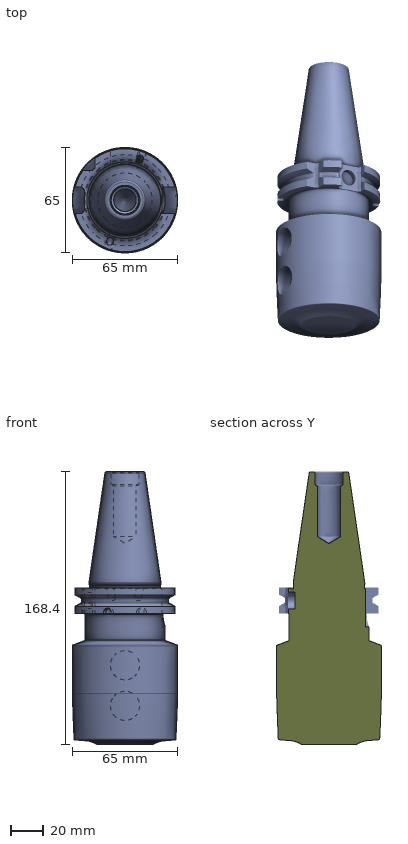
import cadquery as cq
import math

gauge_radius = 44.45 / 2
taper_length = 68.4
taper_ratio = 7 / 24
tip_radius = gauge_radius - taper_length * taper_ratio / 2
tip_fillet = 1.2
relief_radius = 21.95
relief_top_z = -1.0
relief_cone_z = -1.7

flange_radius = 63.55 / 2
flange_top_z = -3.2
flange_bottom_z = -19.1
flange_height = flange_top_z - flange_bottom_z
face_recess_radius = 23.6
face_recess_depth = 0.5
groove_z = -11.1
groove_floor_radius = 56.25 / 2
groove_half_width = 3.54
groove_wall_angle = 30
groove_floor_half_width = groove_half_width - (
    (flange_radius - groove_floor_radius) * math.tan(math.radians(groove_wall_angle))
)

neck_radius = 49.5 / 2
neck_bottom_z = -35.7
body_radius = 65 / 2
body_top_z = -38.7
body_bend_z = -68.4
body_end_radius = 31.4
body_end_z = -97.0
body_bulge = 0.1
nose_z = -100.0
nose_cone_radius = 23.0
nose_cone_z = -97.7
nose_arc_radius = 20.2
nose_arc_z = -98.4
nose_radius = 16.8

groove_fillet = 0.6
neck_fillet = 0.5
body_fillet = 0.5
edge_margin = 0.01

thread_radius = 13.9 / 2
pilot_radius = 17 / 2
pilot_depth = 8.0
pilot_chamfer = 0.7
pilot_floor_drop = 0.8
thread_depth = 40.0
drill_point_half_angle = 59

slot_width = 16.1
slot_overshoot = 10.0
left_slot_floor = 25.0
slot_corner_chamfer = 1.6
right_slot_floor = 22.8
right_slot_end_z = flange_bottom_z
dimple_radius = 5.0
dimple_depth = 4.0
notch_x = -18.6
notch_y = 18.4
notch_chamfer = 1.5

coolant_radius = 2.1
coolant_angles = (70, 250)
coolant_inlet_radius = 27.0
coolant_tilt = 30
coolant_inlet_length = 8.0
outlet_radius = 2.5
outlet_z = -18.3
outlet_depth = 4.0

screw_hole_radius = 9.0
screw_hole_depth = 10.0
screw_hole_offsets = (24.0, 49.0)


def radial_point(radius, angle, z):
    """Point at the given radius and angle around the Z axis."""
    turn = math.radians(angle)
    return cq.Vector(radius * math.cos(turn), radius * math.sin(turn), z)


def fillet_circle(body, radius, z, size):
    """Fillet the circular edge around Z that has the given radius and height."""
    reach = cq.Vector(radius + edge_margin, radius + edge_margin, edge_margin)
    corner = cq.Vector(0, 0, z)
    near = cq.selectors.BoxSelector(corner - reach, corner + reach, boundingbox=True)
    inner = cq.Vector(radius - edge_margin, radius - edge_margin, edge_margin)
    inside = cq.selectors.BoxSelector(corner - inner, corner + inner, boundingbox=True)
    return body.edges(near - inside).fillet(size)


def make_blank():
    """Revolve the half section of the whole holder around Z."""
    bulge_radius = (body_radius + body_end_radius) / 2 + body_bulge
    bulge_z = (body_bend_z + body_end_z) / 2
    blank = (
        cq.Workplane("XZ")
        .moveTo(0, taper_length)
        .lineTo(tip_radius, taper_length)
        .lineTo(gauge_radius, 0)
        .lineTo(gauge_radius, relief_top_z)
        .lineTo(relief_radius, relief_cone_z)
        .lineTo(relief_radius, flange_top_z - face_recess_depth)
        .lineTo(face_recess_radius, flange_top_z - face_recess_depth)
        .lineTo(face_recess_radius, flange_top_z)
        .lineTo(flange_radius, flange_top_z)
        .lineTo(flange_radius, groove_z + groove_half_width)
        .lineTo(groove_floor_radius, groove_z + groove_floor_half_width)
        .lineTo(groove_floor_radius, groove_z - groove_floor_half_width)
        .lineTo(flange_radius, groove_z - groove_half_width)
        .lineTo(flange_radius, flange_bottom_z)
        .lineTo(neck_radius, flange_bottom_z)
        .lineTo(neck_radius, neck_bottom_z)
        .lineTo(body_radius, body_top_z)
        .lineTo(body_radius, body_bend_z)
        .threePointArc((bulge_radius, bulge_z), (body_end_radius, body_end_z))
        .lineTo(nose_cone_radius, nose_cone_z)
        .threePointArc((nose_arc_radius, nose_arc_z), (nose_radius, nose_z))
        .lineTo(0, nose_z)
        .close()
        .revolve(360, (0, 0, 0), (0, 1, 0))
    )
    blank = fillet_circle(blank, tip_radius, taper_length, tip_fillet)
    blank = fillet_circle(blank, groove_floor_radius, groove_z + groove_floor_half_width, groove_fillet)
    blank = fillet_circle(blank, groove_floor_radius, groove_z - groove_floor_half_width, groove_fillet)
    blank = fillet_circle(blank, neck_radius, flange_bottom_z, neck_fillet)
    blank = fillet_circle(blank, neck_radius, neck_bottom_z, neck_fillet)
    blank = fillet_circle(blank, body_radius, body_top_z, body_fillet)
    return fillet_circle(blank, body_end_radius, body_end_z, body_fillet)


def pull_stud_bore():
    """Chamfered pilot bore, threaded hole and drill point in the taper end."""
    thread_end_z = taper_length - thread_depth
    pilot_end_z = taper_length - pilot_depth
    point_depth = thread_radius / math.tan(math.radians(drill_point_half_angle))
    return (
        cq.Workplane("XZ")
        .moveTo(0, taper_length)
        .lineTo(pilot_radius + pilot_chamfer, taper_length)
        .lineTo(pilot_radius, taper_length - pilot_chamfer)
        .lineTo(pilot_radius, pilot_end_z)
        .lineTo(thread_radius, pilot_end_z - pilot_floor_drop)
        .lineTo(thread_radius, thread_end_z)
        .lineTo(0, thread_end_z - point_depth)
        .close()
        .revolve(360, (0, 0, 0), (0, 1, 0))
    )


def left_slot():
    """Drive slot on the -X side with chamfered floor corners and a round dimple."""
    slot_length = flange_radius + slot_overshoot - left_slot_floor
    slot = (
        cq.Workplane("XY", origin=(-left_slot_floor - slot_length / 2, 0, flange_bottom_z))
        .rect(slot_length, slot_width)
        .extrude(flange_height)
        .edges("|Z and >X")
        .chamfer(slot_corner_chamfer)
    )
    dimple = (
        cq.Workplane("YZ", origin=(-left_slot_floor, 0, groove_z))
        .circle(dimple_radius)
        .extrude(dimple_depth)
    )
    return slot.union(dimple)


def right_slot():
    """Drive slot on the +X side, ending in a round end-mill runout in the neck."""
    slot_length = flange_radius + slot_overshoot - right_slot_floor
    slot_height = flange_top_z - right_slot_end_z
    floor = cq.Workplane("YZ", origin=(right_slot_floor, 0, right_slot_end_z))
    straight = floor.center(0, slot_height / 2).rect(slot_width, slot_height).extrude(slot_length)
    runout = floor.circle(slot_width / 2).extrude(slot_length)
    return straight.union(runout)


def orientation_notch():
    """Corner notch through the flange on the -X, +Y side."""
    return (
        cq.Workplane("XY", origin=(notch_x, notch_y, flange_bottom_z))
        .rect(-body_radius, body_radius, centered=False)
        .extrude(flange_height)
        .edges("|Z and >X and <Y")
        .chamfer(notch_chamfer)
    )


def coolant_hole(angle):
    """Inlet slanting inward from the flange top and radial outlet at the lower rim."""
    tilt = math.radians(coolant_tilt)
    outward = radial_point(1, angle, 0)
    inward_down = outward * -math.sin(tilt) + cq.Vector(0, 0, -math.cos(tilt))
    lead = coolant_radius * math.tan(tilt)
    inlet_start = radial_point(coolant_inlet_radius, angle, flange_top_z) - inward_down * lead
    inlet = cq.Solid.makeCylinder(
        coolant_radius, coolant_inlet_length + lead, inlet_start, inward_down
    )
    outlet_start = radial_point(flange_radius - outlet_depth, angle, outlet_z)
    outlet = cq.Solid.makeCylinder(outlet_radius, 2 * outlet_depth, outlet_start, outward)
    return cq.Workplane(inlet).union(cq.Workplane(outlet))


def screw_hole(offset_from_nose):
    """Flat-bottomed radial hole for a clamping screw."""
    start = cq.Vector(0, body_radius - screw_hole_depth, nose_z + offset_from_nose)
    hole = cq.Solid.makeCylinder(screw_hole_radius, 2 * screw_hole_depth, start, cq.Vector(0, 1, 0))
    return cq.Workplane(hole)


result = make_blank().cut(pull_stud_bore())
result = result.cut(left_slot()).cut(right_slot()).cut(orientation_notch())
for hole_angle in coolant_angles:
    result = result.cut(coolant_hole(hole_angle))
for hole_offset in screw_hole_offsets:
    result = result.cut(screw_hole(hole_offset))